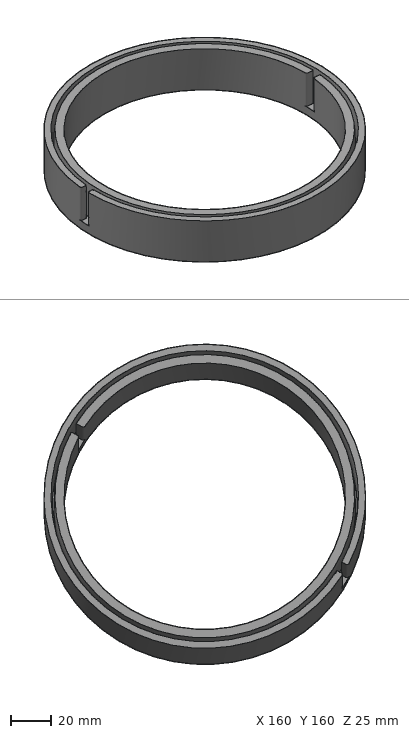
import cadquery as cq

outer_diameter = 160.0
inner_diameter = 140.0
height = 25.0

groove_center_radius = 75.5
groove_width = 1.0
groove_mouth_width = 2.0
groove_depth = 20.0
lead_in_depth = 5.0

slot_width = 5.0
slot_edge_fillet = 1.0

outer_radius = outer_diameter / 2
inner_radius = inner_diameter / 2
groove_inner_radius = groove_center_radius - groove_width / 2
groove_outer_radius = groove_center_radius + groove_width / 2


def tube(bottom, top, small_radius, large_radius):
    """Hollow cylinder between two heights and two radii."""
    disc = cq.Workplane("XY").workplane(offset=bottom).circle(large_radius)
    return disc.circle(small_radius).extrude(top - bottom)


def slotted_wall(side, small_radius, large_radius):
    """Upright wall beside the groove, with one rounded slot at +Y (side = 1) or -Y (side = -1)."""
    floor = height - groove_depth
    wall = tube(floor, height, small_radius, large_radius)
    bar = (
        cq.Workplane("XY")
        .workplane(offset=floor)
        .center(0, side * (small_radius + large_radius) / 2)
        .rect(slot_width, 2 * (large_radius - small_radius))
        .extrude(groove_depth)
    )
    slot_zone = cq.selectors.BoxSelector(
        (-slot_width, side * inner_radius / 2, floor),
        (slot_width, side * outer_radius, height),
    )
    return wall.cut(bar).edges("|Z").edges(slot_zone).fillet(slot_edge_fillet)


def lead_in():
    """Ring-shaped cutter that widens the groove evenly up to the top face."""
    bottom = height - lead_in_depth
    section = (
        cq.Workplane("XZ")
        .moveTo(groove_inner_radius, bottom)
        .lineTo(groove_outer_radius, bottom)
        .lineTo(groove_center_radius + groove_mouth_width / 2, height)
        .lineTo(groove_center_radius - groove_mouth_width / 2, height)
        .close()
    )
    return section.revolve(360, (0, 0, 0), (0, 1, 0))


base = tube(0, height - groove_depth, inner_radius, outer_radius)
outer_wall = slotted_wall(-1, groove_outer_radius, outer_radius)
inner_wall = slotted_wall(1, inner_radius, groove_inner_radius)

result = base.union(outer_wall).union(inner_wall).cut(lead_in())